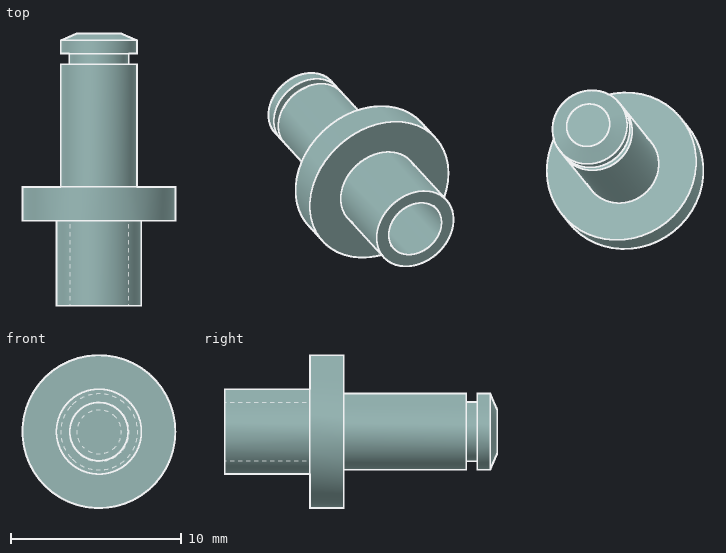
import cadquery as cq

total_length = 16.0
tube_length = 5.0
flange_thickness = 2.0
head_length = 1.18
groove_width = 0.62
chamfer_length = 0.42

flange_diameter = 9.0
tube_diameter = 5.0
bore_diameter = 3.42
shaft_diameter = 4.5
groove_diameter = 3.5
tip_diameter = 2.6

flange_front = tube_length
flange_back = flange_front + flange_thickness
groove_back = total_length - head_length
groove_front = groove_back - groove_width
chamfer_start = total_length - chamfer_length

body = (
    cq.Workplane("XY")
    .moveTo(0, 0)
    .lineTo(tube_diameter / 2, 0)
    .lineTo(tube_diameter / 2, flange_front)
    .lineTo(flange_diameter / 2, flange_front)
    .lineTo(flange_diameter / 2, flange_back)
    .lineTo(shaft_diameter / 2, flange_back)
    .lineTo(shaft_diameter / 2, groove_front)
    .lineTo(groove_diameter / 2, groove_front)
    .lineTo(groove_diameter / 2, groove_back)
    .lineTo(shaft_diameter / 2, groove_back)
    .lineTo(shaft_diameter / 2, chamfer_start)
    .lineTo(tip_diameter / 2, total_length)
    .lineTo(0, total_length)
    .close()
    .revolve(360, (0, 0, 0), (0, 1, 0))
)

bore = (
    cq.Workplane("XZ")
    .circle(bore_diameter / 2)
    .extrude(-tube_length)
)

result = body.cut(bore)